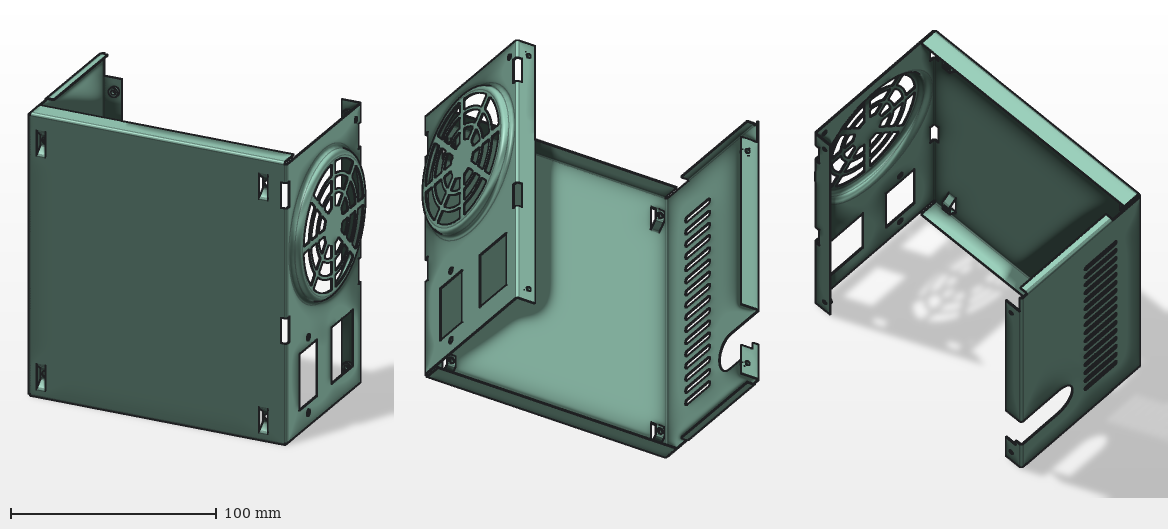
import cadquery as cq
import math

sheet = 0.67
bend_outer = 2 * sheet
bend_inner = bend_outer - sheet
case_width = 140.0
case_depth = 84.04
case_height = 150.67
wall_half_height = case_height / 2 - bend_outer
through = 20.0

flange_depth = 10.0 + sheet
side_flange_depth = 4.0 + sheet
side_flange_start = 20.0
side_flange_length = 60.0

notch_size = 3.35
notch_height = 13.5
notch_levels = (-14.4, 57.4)

bridge_width = 4.8
bridge_length = 14.2
bridge_land = 5.4
bridge_depth = 4.5
bridge_lead = 0.9
bridge_hole = 3.2
bridge_columns = (7.3, 127.3)
bridge_rows = (-64.0, 60.0)

boss_diameter = 5.0
boss_hole = 2.4
boss_length = 2.0
boss_inset = 7.0

left_flange_top = 62.0
cable_relief = 3.5
cable_relief_start = 4.0

vent_count = 16
vent_pitch = 7.0
vent_length = 22.6
vent_height = 3.1
vent_y = 28.5
cable_height = 20.0
cable_y = 58.0
cable_z = -44.2

connector_z = -47.0
connector_height = 30.0
inlet_y = 24.4
inlet_width = 20.0
inlet_screw_spacing = 40.0
inlet_screw_hole = 3.5
switch_y = 62.4
switch_width = 24.3
wall_hole_y = 77.4
wall_hole_z = 67.5
wall_hole = 3.0

fan_y = 42.2
fan_z = 26.2
dome_height = 5.0
dome_radius = 38.0
dome_bend_inner = (dome_height - sheet) / 2
dome_bend_outer = dome_bend_inner + sheet
hub_radius = 10.0
guard_gap = 6.5
guard_ring = 2.0
guard_gap_count = 3
spoke_count = 8
spoke_width = 3.6
guard_corner_radius = 0.9


def block(x_range, y_range, z_range):
    """Axis-aligned box given by its limits."""
    size = [high - low for low, high in (x_range, y_range, z_range)]
    corner = (x_range[0], y_range[0], z_range[0])
    return cq.Workplane("XY").box(*size, centered=False).translate(corner)


def tall_block(x_range, y_range):
    return block(x_range, y_range, (-wall_half_height, wall_half_height))


def cylinder_x(x_start, length, y, z, diameter):
    plane = cq.Workplane("YZ", origin=(x_start, y, z))
    return plane.circle(diameter / 2).extrude(length)


def cylinder_y(x, y_start, length, z, diameter):
    plane = cq.Workplane("XZ", origin=(x, y_start, z))
    return plane.circle(diameter / 2).extrude(-length)


def folded_shell():
    """Front panel, both side walls and the two rear flanges, folded from one sheet."""
    outside = tall_block((0, case_width), (0, case_depth)).edges("|Z").fillet(bend_outer)
    inside = tall_block((sheet, case_width - sheet), (sheet, case_depth - sheet))
    inside = inside.edges("|Z").fillet(bend_inner)
    rear_opening = tall_block((flange_depth, case_width - flange_depth),
                              (case_depth - bend_outer, case_depth))
    return outside.cut(inside).cut(rear_opening)


def flange(plane, depth, length):
    """Flange bent inward from the upper edge of a wall, with its profile in the given plane."""
    diagonal = math.sqrt(0.5)
    top = bend_outer
    profile = (
        plane.moveTo(0, 0)
        .threePointArc((bend_outer * (1 - diagonal), bend_outer * diagonal), (bend_outer, top))
        .lineTo(depth, top)
        .lineTo(depth, top - sheet)
        .lineTo(bend_outer, top - sheet)
        .threePointArc((bend_outer - bend_inner * diagonal, bend_inner * diagonal), (sheet, 0))
        .close()
    )
    return profile.extrude(length)


def top_and_bottom_flanges():
    front_plane = cq.Workplane("YZ", origin=(bend_outer, 0, wall_half_height))
    front = flange(front_plane, flange_depth, case_width - 2 * bend_outer)
    left_plane = cq.Workplane("XZ", origin=(0, side_flange_start, wall_half_height))
    left = flange(left_plane, side_flange_depth, -side_flange_length)
    upper = front.union(left)
    return upper.union(upper.mirror("XY"))


def corner_notches():
    """Cutters through the front and rear bends of the right wall."""
    cutters = cq.Workplane("XY")
    for z in notch_levels:
        for y_range in ((0, notch_size), (case_depth - notch_size, case_depth)):
            cutters = cutters.union(block((case_width - notch_size, case_width), y_range,
                                          (z - notch_height / 2, z + notch_height / 2)))
    return cutters


def bridge_window(x, z):
    half_width = bridge_width / 2
    half_length = bridge_length / 2
    return block((x - half_width, x + half_width), (0, sheet), (z - half_length, z + half_length))


def bridge(x, z):
    """Strip pressed inward between two bent ramps, with a hole in its flat land."""
    end = bridge_length / 2
    ramp = end - bridge_lead
    land = bridge_land / 2
    ramp_angle = math.atan2(bridge_depth, ramp - land)
    shift = sheet * math.tan(ramp_angle / 2)
    back = bridge_depth + sheet
    front_face = [(0, -end), (0, -ramp), (bridge_depth, -land),
                  (bridge_depth, land), (0, ramp), (0, end)]
    back_face = [(sheet, end), (sheet, ramp + shift), (back, land + shift),
                 (back, -land - shift), (sheet, -ramp - shift), (sheet, -end)]
    strip = (
        cq.Workplane("YZ", origin=(x - bridge_width / 2, 0, z))
        .polyline(front_face + back_face)
        .close()
        .extrude(bridge_width)
    )
    bends = [(0, ramp, bend_outer), (sheet, ramp + shift, bend_inner),
             (bridge_depth, land, bend_inner), (back, land + shift, bend_outer)]
    for y, level, radius in bends:
        for side in (-1, 1):
            corner = cq.selectors.NearestToPointSelector((x, y, z + side * level))
            strip = strip.edges("|X").edges(corner).fillet(radius)
    return strip.cut(cylinder_y(x, 0, through, z, bridge_hole))


def add_bridges(body):
    for x in bridge_columns:
        for z in bridge_rows:
            body = body.cut(bridge_window(x, z)).union(bridge(x, z))
    return body


def left_flange_cutbacks():
    """Cutters that shorten the left rear flange at its top and below the cable cutout."""
    y_range = (case_depth - bend_outer, case_depth)
    cable_bottom = cable_z - cable_height / 2
    top = block((bend_outer, flange_depth), y_range, (left_flange_top, wall_half_height))
    relief = block((cable_relief_start, flange_depth), y_range,
                   (cable_bottom - cable_relief, cable_bottom))
    return top.union(relief)


def add_rear_bosses(body):
    right_x = case_width - boss_inset
    bottom_z = boss_inset - wall_half_height
    places = [(boss_inset, bottom_z), (boss_inset, left_flange_top - boss_inset),
              (right_x, bottom_z), (right_x, wall_half_height - boss_inset)]
    tip = case_depth - sheet - boss_length
    for x, z in places:
        body = body.union(cylinder_y(x, tip, boss_length + sheet, z, boss_diameter))
        body = body.cut(cylinder_y(x, tip, boss_length + sheet, z, boss_hole))
    return body


def left_wall_openings():
    middle = (vent_count - 1) / 2
    vents = (
        cq.Workplane("YZ", origin=(0, vent_y, 0))
        .pushPoints([(0, (i - middle) * vent_pitch) for i in range(vent_count)])
        .slot2D(vent_length, vent_height)
        .extrude(sheet)
    )
    half_height = cable_height / 2
    cable_slot = block((0, flange_depth), (cable_y, case_depth),
                       (cable_z - half_height, cable_z + half_height))
    cable_end = cylinder_x(0, sheet, cable_y, cable_z, cable_height)
    return vents.union(cable_slot).union(cable_end)


def right_wall_openings():
    start = case_width - sheet
    cutters = cylinder_x(start, sheet, wall_hole_y, wall_hole_z, wall_hole)
    for y, width in ((inlet_y, inlet_width), (switch_y, switch_width)):
        cutters = cutters.union(block((start, case_width), (y - width / 2, y + width / 2),
                                      (connector_z - connector_height / 2,
                                       connector_z + connector_height / 2)))
    for side in (-1, 1):
        z = connector_z + side * inlet_screw_spacing / 2
        cutters = cutters.union(cylinder_x(start, sheet, inlet_y, z, inlet_screw_hole))
    return cutters


def fan_dome():
    """Domed disc: an S-shaped rim drawn out of the wall, revolved about the fan axis."""
    middle = dome_bend_inner
    base = dome_radius + dome_bend_inner
    rim = dome_radius - dome_bend_outer

    def lower_bend(radius, angle):
        return (middle - radius * math.sin(angle), base - radius * math.cos(angle))

    def upper_bend(radius, angle):
        return (middle + radius * math.sin(angle), rim + radius * math.cos(angle))

    eighth = math.pi / 4
    quarter = math.pi / 2
    profile = (
        cq.Workplane("XY", origin=(case_width, fan_y, fan_z))
        .moveTo(*lower_bend(dome_bend_inner, quarter))
        .threePointArc(lower_bend(dome_bend_inner, eighth), lower_bend(dome_bend_inner, 0))
        .threePointArc(upper_bend(dome_bend_outer, eighth), upper_bend(dome_bend_outer, quarter))
        .lineTo(dome_height, 0)
        .lineTo(dome_height - sheet, 0)
        .lineTo(*upper_bend(dome_bend_inner, quarter))
        .threePointArc(upper_bend(dome_bend_inner, eighth), upper_bend(dome_bend_inner, 0))
        .threePointArc(lower_bend(dome_bend_outer, eighth), lower_bend(dome_bend_outer, quarter))
        .close()
    )
    return profile.revolve(360, (0, 0, 0), (1, 0, 0))


def guard_openings():
    """Three rings of openings separated by guard rings and radial spokes."""
    plane = cq.Workplane("YZ", origin=(case_width + dome_height - sheet, fan_y, fan_z))
    openings = cq.Workplane("XY")
    for i in range(guard_gap_count):
        inner = hub_radius + i * (guard_gap + guard_ring)
        openings = openings.union(plane.circle(inner + guard_gap).circle(inner).extrude(sheet))
    for i in range(spoke_count // 2):
        spoke = plane.transformed(rotate=(0, 0, i * 360 / spoke_count))
        openings = openings.cut(spoke.rect(2 * dome_radius, spoke_width).extrude(sheet))
    return openings.edges("|X").fillet(guard_corner_radius)


def build_case():
    body = folded_shell().union(top_and_bottom_flanges())
    body = body.cut(corner_notches())
    body = body.cut(left_flange_cutbacks())
    body = add_bridges(body)
    body = add_rear_bosses(body)
    body = body.cut(left_wall_openings())
    body = body.cut(right_wall_openings())
    base_diameter = 2 * (dome_radius + dome_bend_inner)
    body = body.cut(cylinder_x(case_width - sheet, sheet, fan_y, fan_z, base_diameter))
    return body.union(fan_dome().cut(guard_openings()))


result = build_case()